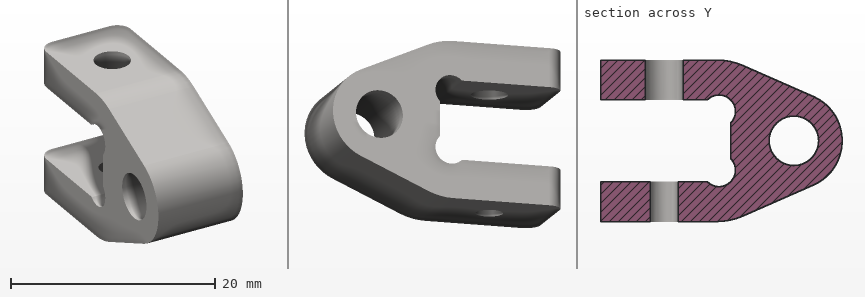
import cadquery as cq
import math

INCH = 25.4
width = 0.375 * INCH
height = 0.625 * INCH
eye_radius = 0.1875 * INCH
length = 23.69
eye_x = length - eye_radius
eye_bore_diameter = 4.8

shoulder_x = 0.5 * INCH
shoulder_radius = 0.25 * INCH
arm_corner_radius = 1.5

slot_height = 8.0
slot_depth = 12.72
relief_radius = 0.0625 * INCH
relief_edge_radius = 0.2

screw_x = 6.22
upper_hole_diameter = 3.66
lower_hole_diameter = 2.7


def extrude_across_width(sketch):
    """Extrude a profile drawn on the XZ plane symmetrically about Y = 0."""
    return sketch.extrude(width / 2, both=True)


def box_around(x, z, reach):
    """Selector for edges along Y whose centre lies within reach of (x, z)."""
    return cq.selectors.BoxSelector(
        (x - reach, -width, z - reach),
        (x + reach, width, z + reach),
    )


def make_body():
    """Arms and eye as one solid block, before the slot and holes."""
    half_height = height / 2
    to_shoulder_x = eye_x - shoulder_x
    shoulder_distance = math.hypot(to_shoulder_x, half_height)
    flank_angle = math.atan2(half_height, to_shoulder_x) - math.asin(eye_radius / shoulder_distance)
    tangent_x = eye_x + eye_radius * math.sin(flank_angle)
    tangent_z = eye_radius * math.cos(flank_angle)

    outline = (
        cq.Workplane("XZ")
        .moveTo(0, -half_height)
        .lineTo(shoulder_x, -half_height)
        .lineTo(tangent_x, -tangent_z)
        .threePointArc((length, 0), (tangent_x, tangent_z))
        .lineTo(shoulder_x, half_height)
        .lineTo(0, half_height)
        .close()
    )
    body = extrude_across_width(outline)
    for side in (-1, 1):
        shoulder = box_around(shoulder_x, side * half_height, arm_corner_radius)
        body = body.edges("|Y").edges(shoulder).fillet(shoulder_radius)
    return body.edges("|Z and <X").fillet(arm_corner_radius)


def make_slot():
    """Slot with corner reliefs; the edges where they run out are lightly rounded."""
    corner_offset = relief_radius / math.sqrt(2)
    relief_x = slot_depth - corner_offset
    relief_z = slot_height / 2 - corner_offset

    slot = extrude_across_width(
        cq.Workplane("XZ").center(slot_depth / 2, 0).rect(slot_depth, slot_height)
    )
    for side in (-1, 1):
        relief = extrude_across_width(
            cq.Workplane("XZ").center(relief_x, side * relief_z).circle(relief_radius)
        )
        slot = slot.union(relief)

    floor_edge_z = relief_z - corner_offset
    wall_edge_x = relief_x - corner_offset
    wall_edge_z = slot_height / 2
    for side in (-1, 1):
        for edge_x, edge_z in ((slot_depth, side * floor_edge_z), (wall_edge_x, side * wall_edge_z)):
            nearby = box_around(edge_x, edge_z, relief_edge_radius)
            slot = slot.edges("|Y").edges(nearby).fillet(relief_edge_radius)
    return slot


def make_screw_hole(diameter, direction):
    """Hole from mid-height out through the upper (+1) or lower (-1) arm."""
    return cq.Workplane("XY").center(screw_x, 0).circle(diameter / 2).extrude(direction * height / 2)


def make_eye_bore():
    """Bore through the eye along Y."""
    return extrude_across_width(cq.Workplane("XZ").center(eye_x, 0).circle(eye_bore_diameter / 2))


result = (
    make_body()
    .cut(make_slot())
    .cut(make_eye_bore())
    .cut(make_screw_hole(upper_hole_diameter, 1))
    .cut(make_screw_hole(lower_hole_diameter, -1))
)